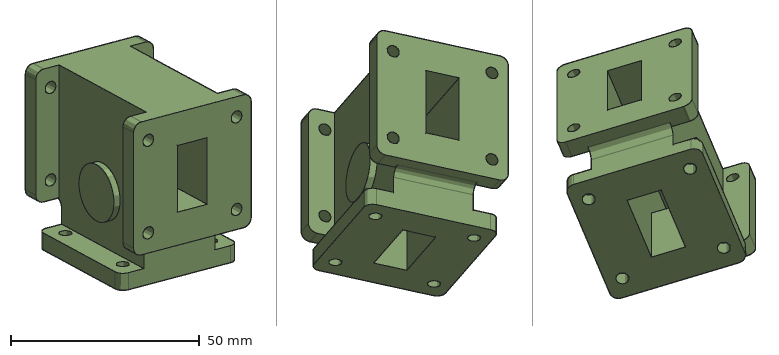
import cadquery as cq
import math

length = 50.0
height = 50.0

flange_size = 38.0
flange_thickness = 4.9
flange_corner_radius = 2.5
bolt_diameter = 3.4
bolt_pitch_long = 26.45
bolt_pitch_short = 28.5

guide_long = 19.05
guide_short = 9.55
side_flange_bottom = height - flange_size
guide_axis_z = height - flange_size / 2

body_width = 23.0
body_length = length - 2 * flange_thickness
shoulder_radius = 2.5

disc_diameter = 16.1
disc_height = 2.0
disc_z = 20.65


def flange():
    """Lying plate with its outer face at Z = 0 and the long opening side along X."""
    return (
        cq.Workplane("XY")
        .rect(flange_size, flange_size)
        .extrude(flange_thickness)
        .edges("|Z")
        .fillet(flange_corner_radius)
        .faces(">Z")
        .workplane()
        .rarray(bolt_pitch_long, bolt_pitch_short, 2, 2)
        .hole(bolt_diameter)
    )


def side_flange(side):
    """Flange stood upright with its outer face at the -X (-1) or +X (+1) end."""
    upright = flange().rotate((0, 0, 0), (0, 1, 0), -side * 90)
    return upright.translate((side * length / 2, 0, guide_axis_z))


def body():
    """Slab between the side flanges, narrowing to a neck above the bottom flange."""
    upper = cq.Workplane("XY").box(
        body_length, body_width, flange_size, centered=(True, True, False)
    ).translate((0, 0, side_flange_bottom))
    neck = cq.Workplane("XY").box(
        flange_size, body_width, side_flange_bottom, centered=(True, True, False)
    )
    return upper.union(neck)


def shoulder(side):
    """Concave fillet from the neck side to the underside of a side flange."""
    neck_x = side * flange_size / 2
    outer_x = neck_x + side * shoulder_radius
    tangent_z = side_flange_bottom - shoulder_radius
    arc_reach = shoulder_radius * (1 - math.sqrt(0.5))
    arc_middle = (neck_x + side * arc_reach, side_flange_bottom - arc_reach)
    return (
        cq.Workplane("XZ")
        .moveTo(neck_x, tangent_z)
        .threePointArc(arc_middle, (outer_x, side_flange_bottom))
        .lineTo(neck_x, side_flange_bottom)
        .close()
        .extrude(body_width / 2, both=True)
    )


def discs():
    """One disc standing proud of each broad face of the body, on a common axis."""
    half_span = body_width / 2 + disc_height
    return (
        cq.Workplane("XZ")
        .center(0, disc_z)
        .circle(disc_diameter / 2)
        .extrude(half_span, both=True)
    )


def waveguide():
    """Straight passage along X, with a branch down through the bottom flange."""
    through = cq.Workplane("XY").box(length, guide_short, guide_long).translate((0, 0, guide_axis_z))
    branch = cq.Workplane("XY").box(
        guide_long, guide_short, guide_axis_z, centered=(True, True, False)
    )
    return through.union(branch)


result = body().union(flange()).union(discs())
for end in (-1, 1):
    result = result.union(side_flange(end)).union(shoulder(end))
result = result.cut(waveguide())